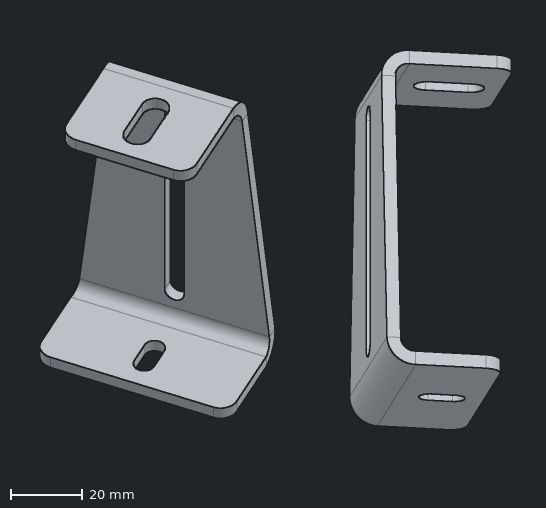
import cadquery as cq
import math

height = 95.0
thickness = 4.0
inner_radius = 4.0
outer_radius = inner_radius + thickness
corner_radius = 5.0

top_width = 40.0
top_depth = 38.0
bottom_width = 60.0
bottom_depth = 33.0
web_top_width = 41.6
web_bottom_width = 58.3

web_slot_length = 73.1
web_slot_width = 6.0
top_slot_length = 20.0
top_slot_width = 8.0
top_slot_setback = 23.0
bottom_slot_length = 13.0
bottom_slot_width = 6.0
bottom_slot_setback = 21.0

bend_y = -outer_radius
bottom_bend_z = outer_radius
top_bend_z = height - outer_radius


def flange(width, depth, base_z, slot_length, slot_width, slot_setback):
    """Flat plate with rounded free corners and a slot running along Y."""
    flat_depth = depth - outer_radius
    middle_y = bend_y - flat_depth / 2
    plate = (
        cq.Workplane("XY", origin=(0, middle_y, base_z))
        .rect(width, flat_depth)
        .extrude(thickness)
        .edges("|Z and <Y")
        .fillet(corner_radius)
    )
    slot = (
        cq.Workplane("XY", origin=(0, -slot_setback, base_z))
        .slot2D(slot_length, slot_width, 90)
        .extrude(thickness)
    )
    return plate.cut(slot)


def web():
    """Tapered upright plate with a long vertical slot."""
    plate = (
        cq.Workplane("XZ")
        .moveTo(-web_bottom_width / 2, bottom_bend_z)
        .lineTo(web_bottom_width / 2, bottom_bend_z)
        .lineTo(web_top_width / 2, top_bend_z)
        .lineTo(-web_top_width / 2, top_bend_z)
        .close()
        .extrude(thickness)
    )
    slot = (
        cq.Workplane("XZ", origin=(0, 0, height / 2))
        .slot2D(web_slot_length, web_slot_width, 90)
        .extrude(thickness)
    )
    return plate.cut(slot)


def bend(flange_width, web_width, center_z, z_direction):
    """Quarter bend whose width changes evenly with the bend angle.

    z_direction is the side of the bend axis on which the flange lies.
    """

    def edge_curve(radius, side):
        def point(turn):
            angle = turn * math.pi / 2
            width = flange_width + (web_width - flange_width) * turn
            return (
                side * width / 2,
                bend_y + radius * math.sin(angle),
                center_z + z_direction * radius * math.cos(angle),
            )

        return cq.Workplane("XY").parametricCurve(point, makeWire=False).val()

    edges = [
        edge_curve(inner_radius, -1),
        edge_curve(inner_radius, 1),
        edge_curve(outer_radius, 1),
        edge_curve(outer_radius, -1),
    ]
    faces = [
        cq.Face.makeRuledSurface(edge, edges[(index + 1) % len(edges)])
        for index, edge in enumerate(edges)
    ]
    for end in (0, 1):
        corners = [edge.positionAt(end) for edge in edges]
        faces.append(cq.Face.makeFromWires(cq.Wire.makePolygon(corners, close=True)))
    return cq.Workplane(obj=cq.Solid.makeSolid(cq.Shell.makeShell(faces)).fix())


top_flange = flange(
    top_width, top_depth, height - thickness, top_slot_length, top_slot_width, top_slot_setback
)
bottom_flange = flange(
    bottom_width, bottom_depth, 0, bottom_slot_length, bottom_slot_width, bottom_slot_setback
)
top_bend = bend(top_width, web_top_width, top_bend_z, 1)
bottom_bend = bend(bottom_width, web_bottom_width, bottom_bend_z, -1)

result = web().union(top_bend).union(bottom_bend).union(top_flange).union(bottom_flange)